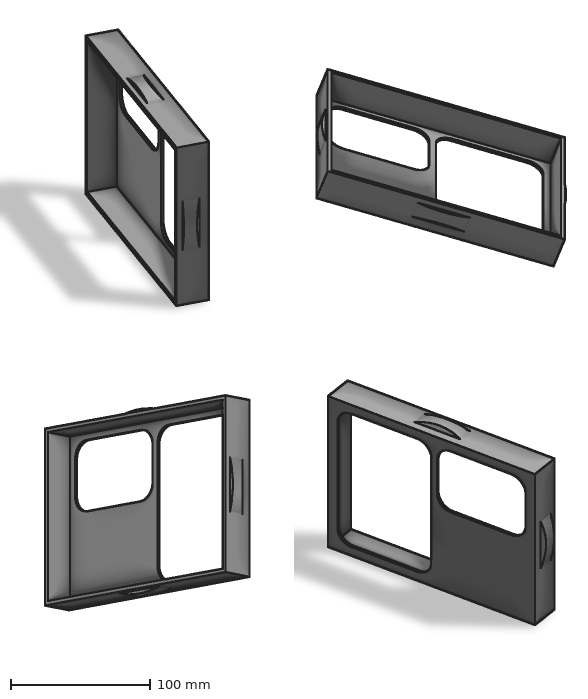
import cadquery as cq

overall_width = 186.0
overall_height = 135.0
depth = 25.0

pad_rise = 2.8
wall = 3.0
panel_thickness = 2.0
body_width = overall_width - 2 * pad_rise
body_height = overall_height - 2 * pad_rise
back_y = depth / 2

opening_edge_x = 82.0
opening_edge_z = 57.1
small_inner_x = -4.8
small_bottom_z = 4.8
large_inner_x = 0.2
opening_radius = 12.0

pad_length = 39.5
pad_width = 12.8
pad_setback = 7.5
pad_slope_run = pad_rise
pad_root = wall / 2


def block(width, height, y_start, y_end):
    """Box centred on X and Z between two Y positions."""
    centre_y = (y_start + y_end) / 2
    return cq.Workplane("XY").box(width, y_end - y_start, height).translate((0, centre_y, 0))


def opening(x_min, x_max, z_min, z_max):
    """Rounded rectangular cutter through the back panel."""
    width = x_max - x_min
    height = z_max - z_min
    cutter = block(width, height, back_y - 2 * panel_thickness, back_y + panel_thickness)
    cutter = cutter.edges("|Y").fillet(opening_radius)
    return cutter.translate(((x_min + x_max) / 2, 0, (z_min + z_max) / 2))


def pad(wall_distance):
    """Pad on the upper side of a wall at the given Z, rooted inside the wall."""
    half = pad_length / 2
    pad_back_y = back_y - pad_setback
    top_z = wall_distance + pad_rise
    root_z = wall_distance - pad_root
    arched = (
        cq.Workplane("XZ", origin=(0, pad_back_y, 0))
        .moveTo(-half, root_z)
        .lineTo(-half, wall_distance)
        .threePointArc((0, top_z), (half, wall_distance))
        .lineTo(half, root_z)
        .close()
        .extrude(pad_width)
    )
    slope_cutter = (
        cq.Workplane("YZ")
        .moveTo(pad_back_y, wall_distance)
        .lineTo(pad_back_y - pad_slope_run, top_z)
        .lineTo(pad_back_y, top_z)
        .close()
        .extrude(half, both=True)
    )
    return arched.cut(slope_cutter)


result = block(body_width, body_height, -back_y, back_y)
cavity = block(body_width - 2 * wall, body_height - 2 * wall, -back_y, back_y - panel_thickness)
result = result.cut(cavity)

result = result.cut(opening(-opening_edge_x, small_inner_x, small_bottom_z, opening_edge_z))
result = result.cut(opening(large_inner_x, opening_edge_x, -opening_edge_z, opening_edge_z))

for angle, wall_distance in (
    (0, body_height / 2),
    (90, body_width / 2),
    (180, body_height / 2),
    (270, body_width / 2),
):
    result = result.union(pad(wall_distance).rotate((0, 0, 0), (0, 1, 0), angle))